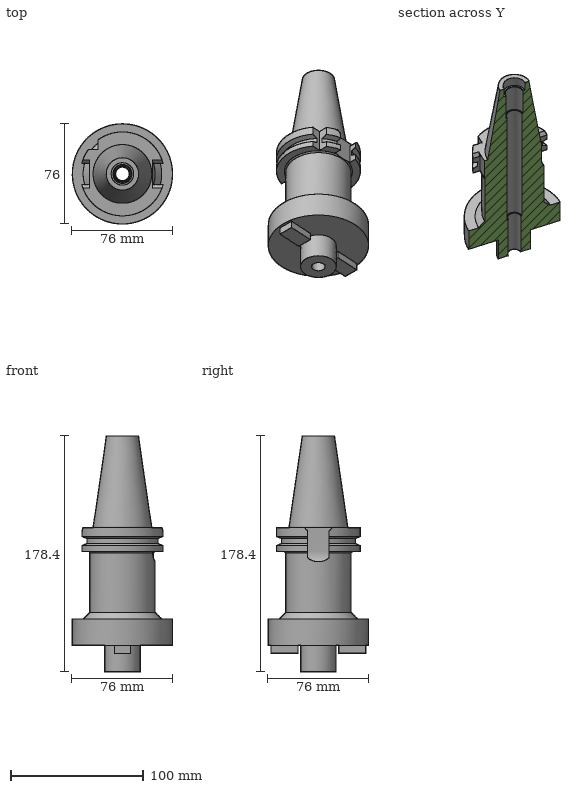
import cadquery as cq


GAUGE_RADIUS = 44.45 / 2
TAPER_LENGTH = 68.4
TAPER_RATIO = 7 / 24
SMALL_END_RADIUS = GAUGE_RADIUS - TAPER_LENGTH * TAPER_RATIO / 2

FLANGE_RADIUS = 63.55 / 2
FLANGE_TOP_Z = -1.0
FLANGE_BOTTOM_Z = -19.1
GROOVE_CENTER_Z = -11.1
GROOVE_FLOOR_RADIUS = 56.25 / 2
GROOVE_FLOOR_WIDTH = 3.75
GROOVE_MOUTH_WIDTH = 7.0

SLOT_WIDTH = 16.1
SLOT_CHAMFER = 2.5
SHALLOW_SLOT_X = 25.0
DEEP_SLOT_X = 22.7
RUNOUT_RADIUS = 15.0
NOTCH_OFFSET = 18.5

COLUMN_RADIUS = 24.75
NECK_CHAMFER = 1.0
DISC_RADIUS = 38.0
DISC_TOP_Z = -70.0
DISC_BOTTOM_Z = -90.0
CONE_HEIGHT = 5.0
PILOT_RADIUS = 27 / 2
PILOT_BOTTOM_Z = -110.0

KEY_WIDTH = 12.0
KEY_HEIGHT = 6.0
KEY_INNER_Y = 15.3
KEY_OUTER_Y = 36.0

COUNTERBORE_RADIUS = 17 / 2
COUNTERBORE_DEPTH = 8.0
COUNTERSINK_RADIUS = 14.3 / 2
THREAD_RADIUS = 13.8 / 2
THREAD_DEPTH = 32.0
CLEARANCE_RADIUS = 12 / 2
CLEARANCE_DEPTH = 140.0
THROUGH_RADIUS = 10.2 / 2


def revolve_about_z(profile):
    """Full turn of a closed outline of (radius, z) points about the Z axis."""
    return cq.Workplane("YZ").polyline(profile).close().revolve(360, (0, 0, 0), (0, 1, 0))


def make_body():
    """Turned outside shape: taper, grooved flange, column, disc and pilot."""
    half_mouth = GROOVE_MOUTH_WIDTH / 2
    half_floor = GROOVE_FLOOR_WIDTH / 2
    profile = [
        (0, TAPER_LENGTH),
        (SMALL_END_RADIUS, TAPER_LENGTH),
        (GAUGE_RADIUS, 0),
        (GAUGE_RADIUS, FLANGE_TOP_Z),
        (FLANGE_RADIUS, FLANGE_TOP_Z),
        (FLANGE_RADIUS, GROOVE_CENTER_Z + half_mouth),
        (GROOVE_FLOOR_RADIUS, GROOVE_CENTER_Z + half_floor),
        (GROOVE_FLOOR_RADIUS, GROOVE_CENTER_Z - half_floor),
        (FLANGE_RADIUS, GROOVE_CENTER_Z - half_mouth),
        (FLANGE_RADIUS, FLANGE_BOTTOM_Z),
        (COLUMN_RADIUS + NECK_CHAMFER, FLANGE_BOTTOM_Z),
        (COLUMN_RADIUS, FLANGE_BOTTOM_Z - NECK_CHAMFER),
        (COLUMN_RADIUS, DISC_TOP_Z + CONE_HEIGHT),
        (COLUMN_RADIUS + CONE_HEIGHT, DISC_TOP_Z),
        (DISC_RADIUS, DISC_TOP_Z),
        (DISC_RADIUS, DISC_BOTTOM_Z),
        (PILOT_RADIUS, DISC_BOTTOM_Z),
        (PILOT_RADIUS, PILOT_BOTTOM_Z),
        (0, PILOT_BOTTOM_Z),
    ]
    return revolve_about_z(profile)


def make_bore():
    """Stepped bore running down the whole axis."""
    counterbore_floor_z = TAPER_LENGTH - COUNTERBORE_DEPTH
    countersink_depth = COUNTERSINK_RADIUS - THREAD_RADIUS
    thread_bottom_z = TAPER_LENGTH - THREAD_DEPTH
    clearance_bottom_z = TAPER_LENGTH - CLEARANCE_DEPTH
    profile = [
        (0, TAPER_LENGTH),
        (COUNTERBORE_RADIUS, TAPER_LENGTH),
        (COUNTERBORE_RADIUS, counterbore_floor_z),
        (COUNTERSINK_RADIUS, counterbore_floor_z),
        (THREAD_RADIUS, counterbore_floor_z - countersink_depth),
        (THREAD_RADIUS, thread_bottom_z),
        (CLEARANCE_RADIUS, thread_bottom_z),
        (CLEARANCE_RADIUS, clearance_bottom_z),
        (THROUGH_RADIUS, clearance_bottom_z),
        (THROUGH_RADIUS, PILOT_BOTTOM_Z),
        (0, PILOT_BOTTOM_Z),
    ]
    return revolve_about_z(profile)


def make_slot(floor_x, bottom_z):
    """Driving slot open towards +X, with chamfered top edges."""
    half_width = SLOT_WIDTH / 2
    mouth = half_width + SLOT_CHAMFER
    section = [
        (-half_width, bottom_z),
        (half_width, bottom_z),
        (half_width, FLANGE_TOP_Z - SLOT_CHAMFER),
        (mouth, FLANGE_TOP_Z),
        (-mouth, FLANGE_TOP_Z),
        (-half_width, FLANGE_TOP_Z - SLOT_CHAMFER),
    ]
    slot = cq.Workplane("YZ").polyline(section).close().extrude(FLANGE_RADIUS - floor_x)
    return slot.translate((floor_x, 0, 0))


def make_runout():
    """Round cutter run-out that ends the deep slot in the column below the flange."""
    return (
        cq.Workplane("XZ")
        .center(DEEP_SLOT_X + RUNOUT_RADIUS, FLANGE_BOTTOM_Z)
        .circle(RUNOUT_RADIUS)
        .extrude(SLOT_WIDTH / 2, both=True)
    )


def make_notch():
    """Square corner notch through the flange on its -X, +Y side."""
    size = FLANGE_RADIUS - NOTCH_OFFSET
    height = FLANGE_TOP_Z - FLANGE_BOTTOM_Z
    notch = cq.Workplane("XY").box(size, size, height, centered=False)
    return notch.translate((-FLANGE_RADIUS, NOTCH_OFFSET, FLANGE_BOTTOM_Z))


def make_key(side):
    """Drive key below the disc; side is +1 or -1 along Y."""
    center_y = side * (KEY_INNER_Y + KEY_OUTER_Y) / 2
    key = cq.Workplane("XY").box(KEY_WIDTH, KEY_OUTER_Y - KEY_INNER_Y, KEY_HEIGHT)
    return key.translate((0, center_y, DISC_BOTTOM_Z - KEY_HEIGHT / 2))


body = make_body()
for side in (1, -1):
    body = body.union(make_key(side))

shallow_slot_bottom_z = FLANGE_BOTTOM_Z - NECK_CHAMFER
shallow_slot = make_slot(SHALLOW_SLOT_X, shallow_slot_bottom_z).rotate((0, 0, 0), (0, 0, 1), 180)
deep_slot = make_slot(DEEP_SLOT_X, FLANGE_BOTTOM_Z)

result = (
    body.cut(shallow_slot)
    .cut(deep_slot)
    .cut(make_runout())
    .cut(make_notch())
    .cut(make_bore())
)